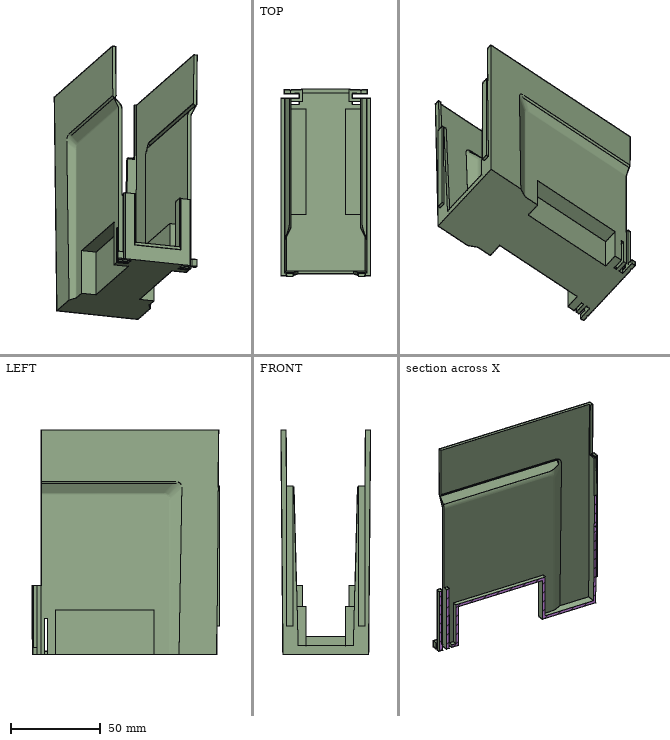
import math

import cadquery as cq

HEIGHT = 125.5
TOP_WIDTH = 50.19
WALL = 2.0
LENGTH = 99.2
DRAFT = 0.5

FRAME_DEPTH = 1.7
FRAME_SILL = 5.0
FRAME_SHELF = 93.5
FRAME_RIM = 3.0
FRAME_BOTTOM_HALF = 15.4
FRAME_TOP_HALF = 17.7

TONGUE_OUT = 0.5
TONGUE_ROOT = 1.2
TONGUE_IN_X = 18.2
TONGUE_OUT_X = 21.8
TONGUE_BOTTOM = 15.9
TONGUE_TOP = 94.2

PANEL_X = 21.4
PANEL_FRONT = 27.3
PANEL_TOP = 89.8
PANEL_SLOPE = 63.0
PANEL_CORNER = 8.0
PANEL_BLEND = 2.0

RELIEF_START = 22.5
RELIEF_X = 20.5
RELIEF_Z = 92.2
GROOVE_X = 23.8

POCKET_X = 12.9
POCKET_FRONT = 36.2
POCKET_REAR = 91.2
POCKET_TOP = 25.0

JAMB_X = 12.85
JAMB_TOP = 38.7
SILL_FRONT = 102.1
SILL_TOP = 10.2
REAR_END = 104.4
LIP_FRONT = 101.6
LIP_REAR = 104.0
LIP_X = 19.7
LIP_PAD_X = 17.1
LIP_RELIEF = 0.5
RIDGE_BOTTOM = 8.6
RIDGE_X = 13.6
KNOB_X = 23.3
KNOB_TOP = 4.0
NOTCH_DEPTH = 0.6
SLOT_FRONT = 95.7
SLOT_REAR = 97.3
SLOT_TOP = 20.1

HALF_TOP = TOP_WIDTH / 2
LEAN = math.tan(math.radians(DRAFT))
SHIFT = HEIGHT * LEAN
MARGIN = 10.0


def block(x0, x1, y0, y1, z0, z1):
    return cq.Workplane("XY").box(x1 - x0, y1 - y0, z1 - z0, centered=False).translate((x0, y0, z0))


def both_sides(shape):
    return shape.union(shape.mirror("YZ"))


def drafted_channel(inset, front_inset, bottom, rear):
    """Solid with leaning sides and front, inset from the outer faces."""
    top_x = HALF_TOP - inset
    low_x = top_x - (HEIGHT - bottom) * LEAN
    section = [(-low_x, bottom), (low_x, bottom), (top_x, HEIGHT), (-top_x, HEIGHT)]
    sides = cq.Workplane("XZ").polyline(section).close().extrude(-rear)
    low_y = front_inset + (HEIGHT - bottom) * LEAN
    profile = [(front_inset, HEIGHT), (rear, HEIGHT), (rear, bottom), (low_y, bottom)]
    ends = cq.Workplane("YZ").polyline(profile).close().extrude(HALF_TOP, both=True)
    return sides.intersect(ends)


def panel(plateau_x, edge_shift, corner, blend):
    """Right-hand panel form: flat plateau with sloping front and top bevels."""
    front = PANEL_FRONT - edge_shift
    top = PANEL_TOP + edge_shift
    beyond_wall = HALF_TOP + WALL
    reach = beyond_wall - plateau_x
    spread = reach * math.tan(math.radians(PANEL_SLOPE))
    far = LENGTH + 2 * MARGIN
    depth_y = far - front
    height_z = far + top
    solid = (
        cq.Workplane("YZ", origin=(plateau_x, 0, 0))
        .center((front + far) / 2, (top - far) / 2)
        .rect(depth_y, height_z)
        .workplane(offset=reach)
        .rect(depth_y + 2 * spread, height_z + 2 * spread)
        .loft(ruled=True)
    )
    slant = cq.selectors.BoxSelector(
        (plateau_x, front - spread, top), (beyond_wall, front, top + spread)
    )
    solid = solid.edges(slant).fillet(corner)
    plateau = cq.selectors.NearestToPointSelector((plateau_x, far / 2, 0))
    return solid.faces(plateau).edges().fillet(blend)


def panel_relief():
    """Cutter above a 45 degree slope that runs outward into the wall."""
    run = GROOVE_X - RELIEF_X
    section = [
        (RELIEF_X - run, RELIEF_Z - run),
        (GROOVE_X, RELIEF_Z + run),
        (RELIEF_X, RELIEF_Z + 2 * run),
        (RELIEF_X - 2 * run, RELIEF_Z),
    ]
    length = LENGTH + MARGIN - RELIEF_START
    return cq.Workplane("XZ", origin=(0, RELIEF_START, 0)).polyline(section).close().extrude(-length)


def frame_opening():
    """Opening through the front frame, wider above the shelf."""
    rim_top = HALF_TOP - FRAME_RIM
    rim_low = rim_top - (HEIGHT - FRAME_SHELF) * LEAN
    right = [
        (FRAME_BOTTOM_HALF, FRAME_SILL),
        (FRAME_TOP_HALF, FRAME_SHELF),
        (rim_low, FRAME_SHELF),
        (rim_top, HEIGHT),
    ]
    left = [(-x, z) for x, z in reversed(right)]
    depth = FRAME_DEPTH + SHIFT
    return cq.Workplane("XZ").polyline(right + left).close().extrude(-depth)


def body():
    outer = drafted_channel(0, 0, 0, LENGTH)
    cavity = drafted_channel(WALL, FRAME_DEPTH, WALL, LENGTH)
    inner_shift = WALL * math.tan(math.radians((90 - PANEL_SLOPE) / 2))
    bump = panel(PANEL_X - WALL, inner_shift, PANEL_CORNER + WALL, PANEL_BLEND + WALL)
    bump = bump.cut(panel_relief())
    pocket_cover = block(
        POCKET_X - WALL, HALF_TOP, POCKET_FRONT - WALL, POCKET_REAR + WALL, 0, POCKET_TOP + WALL
    )
    cavity = cavity.cut(both_sides(bump)).cut(both_sides(pocket_cover))
    recess = panel(PANEL_X, 0, PANEL_CORNER, PANEL_BLEND)
    pocket = block(POCKET_X, HALF_TOP, POCKET_FRONT, POCKET_REAR, -MARGIN, POCKET_TOP)
    solid = outer.cut(cavity).cut(frame_opening())
    solid = solid.cut(both_sides(panel_relief()))
    return solid.cut(both_sides(recess)).cut(both_sides(pocket))


def tongues():
    return both_sides(block(TONGUE_IN_X, TONGUE_OUT_X, -TONGUE_OUT, TONGUE_ROOT, TONGUE_BOTTOM, TONGUE_TOP))


def rear_coupling():
    jamb_out = JAMB_X + WALL
    flange = block(JAMB_X, PANEL_X, LENGTH - WALL, LENGTH, 0, JAMB_TOP)
    jamb = block(JAMB_X, jamb_out, LENGTH - WALL, LIP_REAR, 0, JAMB_TOP)
    lip = block(JAMB_X, LIP_X, LIP_FRONT, LIP_REAR, 0, JAMB_TOP)
    lip = lip.edges("|Z and >X and >Y").chamfer(NOTCH_DEPTH)
    lip = lip.cut(block(JAMB_X + WALL, LIP_PAD_X, LIP_FRONT, LIP_FRONT + LIP_RELIEF, 0, JAMB_TOP))
    knob = block(JAMB_X, KNOB_X, LIP_FRONT, LIP_REAR, 0, KNOB_TOP)
    knob = knob.cut(
        cq.Workplane("XY")
        .moveTo(LIP_X - NOTCH_DEPTH, LIP_REAR)
        .lineTo(LIP_X, LIP_REAR - NOTCH_DEPTH)
        .lineTo(LIP_X + NOTCH_DEPTH, LIP_REAR)
        .close()
        .extrude(KNOB_TOP)
    )
    ridge = block(JAMB_X, RIDGE_X, LIP_REAR, REAR_END, RIDGE_BOTTOM, JAMB_TOP)
    sides = both_sides(flange.union(jamb).union(lip).union(knob).union(ridge))
    floor = block(-jamb_out, jamb_out, LENGTH - WALL, LIP_REAR, 0, WALL)
    sill = block(-JAMB_X, JAMB_X, SILL_FRONT, LIP_REAR, 0, SILL_TOP)
    sill_ridge = block(-JAMB_X, JAMB_X, LIP_REAR, REAR_END, RIDGE_BOTTOM, SILL_TOP)
    return sides.union(floor).union(sill).union(sill_ridge)


def rear_slots():
    return both_sides(block(JAMB_X + WALL, HALF_TOP, SLOT_FRONT, SLOT_REAR, -MARGIN, SLOT_TOP))


part = body().cut(rear_slots()).union(tongues()).union(rear_coupling())
result = cq.Workplane(part.solids().val())